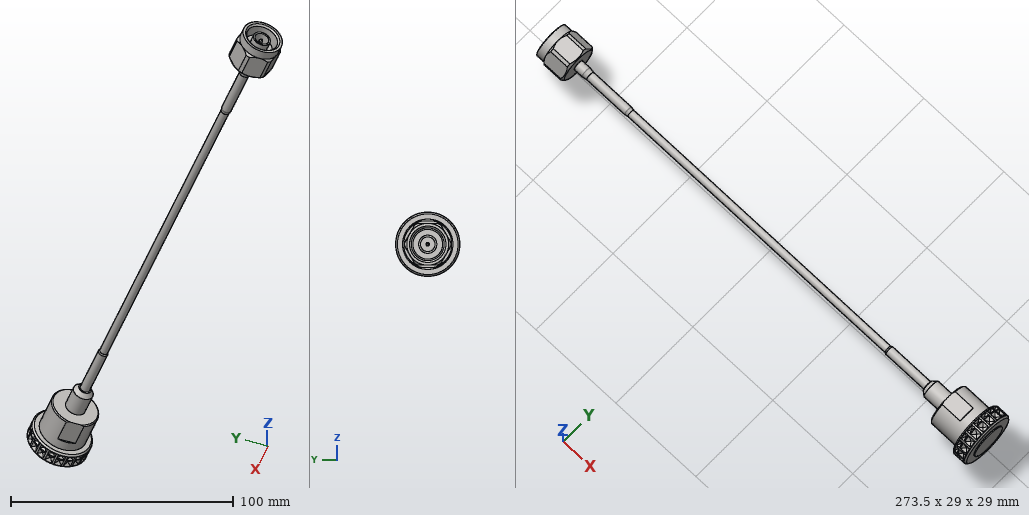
import cadquery as cq
import math

total_length = 273.5
clearance_height = 27.3

nut_length = 17.0
nut_collar_length = 4.5
nut_across_flats = 19.0
nut_corner_radius = 10.5
nut_chamfer_length = 1.0
nut_rear_radius = 9.0
nut_bore_radius = 7.5
nut_mouth_chamfer = 0.8
nut_wall = 2.5

plug_flange_start = 6.0
plug_flange_radius = 13.5 / 2
contact_start = 1.0
contact_radius = 4.0
contact_bore_radius = 3.3
contact_bore_depth = 5.5
pin_radius = 0.8
pin_start = 1.6
pin_tip_length = 0.8
pin_tip_radius = 0.4
plug_neck_radius = 2.7
plug_neck_end = 22.0
plug_end = 24.3

cable_radius = 1.97
sleeve_radius = 2.32
front_sleeve_end = 49.8
front_sleeve_taper = 1.6
rear_sleeve_start = 210.5
rear_sleeve_taper = 0.8

housing_start = 235.5
boot_radius = 9.5 / 2
boot_end_radius = 3.0
boot_taper = 2.2
barrel_start = 248.0
barrel_radius = 22.7 / 2
barrel_chamfer = 0.5
barrel_across_flats = 21.0
barrel_flat_end = 259.8
spigot_radius = 9.0

ring_start = 264.7
ring_end = 273.0
ring_radius = 14.5
ring_chamfer = 0.8
pits_around = 20
pit_width = 3.8
pit_depth = 1.0
pit_overcut = 0.5
pit_floor_share = 0.1
pit_rows = ((265.8, 267.7), (268.0, 271.8))


def rod(start, end, radius):
    """Cylinder about X."""
    return cq.Workplane("YZ", origin=(start, 0, 0)).circle(radius).extrude(end - start)


def turned(points):
    """Solid of revolution about X from (x, radius) points; the axis closes the outline."""
    outline = [(points[0][0], 0), *points, (points[-1][0], 0)]
    return cq.Workplane("XY").polyline(outline).close().revolve(360, (0, 0, 0), (1, 0, 0))


def make_nut():
    flat_radius = nut_across_flats / 2
    hexagon = (
        cq.Workplane("YZ", origin=(nut_collar_length, 0, 0))
        .polygon(6, nut_across_flats / math.cos(math.pi / 6))
        .extrude(nut_length - nut_collar_length)
    )
    corner_envelope = turned([
        (nut_collar_length, flat_radius),
        (nut_collar_length + nut_chamfer_length, nut_corner_radius),
        (nut_length - nut_chamfer_length, nut_corner_radius),
        (nut_length, nut_rear_radius),
    ])
    bore = turned([
        (0, nut_bore_radius + nut_mouth_chamfer),
        (nut_mouth_chamfer, nut_bore_radius),
        (nut_length - nut_wall, nut_bore_radius),
    ])
    collar = rod(0, nut_collar_length, flat_radius)
    return (
        hexagon.intersect(corner_envelope)
        .union(collar)
        .cut(bore)
        .cut(rod(nut_length - nut_wall, nut_length, plug_neck_radius))
    )


def make_plug():
    flange_end = nut_length - nut_wall
    body = turned([
        (contact_start, contact_radius),
        (plug_flange_start, contact_radius),
        (plug_flange_start, plug_flange_radius),
        (flange_end, plug_flange_radius),
        (flange_end, plug_neck_radius),
        (plug_neck_end, plug_neck_radius),
        (plug_end, sleeve_radius),
    ])
    bore_floor = contact_start + contact_bore_depth
    pin = turned([
        (pin_start, pin_tip_radius),
        (pin_start + pin_tip_length, pin_radius),
        (bore_floor, pin_radius),
    ])
    return body.cut(rod(contact_start, bore_floor, contact_bore_radius)).union(pin)


def make_front_sleeve():
    return turned([
        (plug_end, sleeve_radius),
        (front_sleeve_end - front_sleeve_taper, sleeve_radius),
        (front_sleeve_end, cable_radius),
    ])


def make_rear_sleeve():
    return turned([
        (rear_sleeve_start, cable_radius),
        (rear_sleeve_start + rear_sleeve_taper, sleeve_radius),
        (housing_start, sleeve_radius),
    ])


def make_housing():
    body = turned([
        (housing_start, boot_end_radius),
        (housing_start + boot_taper, boot_radius),
        (barrel_start, boot_radius),
        (barrel_start, barrel_radius - barrel_chamfer),
        (barrel_start + barrel_chamfer, barrel_radius),
        (ring_start, barrel_radius),
        (ring_start, spigot_radius),
        (total_length, spigot_radius),
    ])
    flat_length = barrel_flat_end - barrel_start
    for side in (1, -1):
        mill = cq.Workplane("XY").box(flat_length, clearance_height, clearance_height).translate(
            (barrel_start + flat_length / 2, 0, side * (barrel_across_flats + clearance_height) / 2)
        )
        body = body.cut(mill)
    return body


def knurl_pit(start, end):
    """Pyramid that cuts one pit into the top of the ring; its walls carry on above the ring."""
    spread = (pit_depth + pit_overcut) / pit_depth
    length = end - start
    return (
        cq.Workplane("XY", origin=((start + end) / 2, 0, ring_radius + pit_overcut))
        .rect(spread * length, spread * pit_width)
        .workplane(offset=-(pit_depth + pit_overcut))
        .rect(pit_floor_share * length, pit_floor_share * pit_width)
        .loft(ruled=True)
    )


def make_ring():
    ring = rod(ring_start, ring_end, ring_radius).faces("<X or >X").edges().chamfer(ring_chamfer)
    ring = ring.cut(rod(ring_start, ring_end, spigot_radius))
    pitch_angle = 360 / pits_around
    for start, end in pit_rows:
        pit = knurl_pit(start, end)
        for i in range(pits_around):
            ring = ring.cut(pit.rotate((0, 0, 0), (1, 0, 0), i * pitch_angle))
    return ring


nut = make_nut()
plug = make_plug()
front_sleeve = make_front_sleeve()
rear_sleeve = make_rear_sleeve()
cable = rod(front_sleeve_end, rear_sleeve_start, cable_radius)
housing = make_housing()
ring = make_ring()

bodies = [nut, plug, front_sleeve, cable, rear_sleeve, housing, ring]
result = cq.Compound.makeCompound([body.val() for body in bodies])